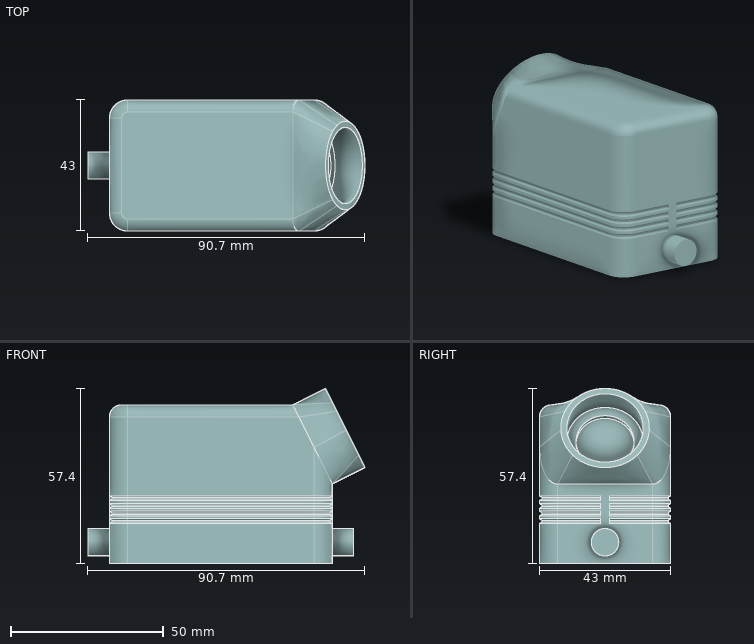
import cadquery as cq
import math

BODY_LENGTH = 73.0
BODY_WIDTH = 43.0
BODY_HEIGHT = 52.0
CORNER_RADIUS = 6.0
TOP_RADIUS = 4.0

NECK_TILT = 26.5
MOUTH_DIAMETER = 29.0
MOUTH_TOP_Z = 57.38
MOUTH_TIP_X = 47.22
NECK_LENGTH = 12.0
BORE_DIAMETER = 25.0
BORE_DEPTH = 10.0
INNER_HOLE_DIAMETER = 19.0

GROOVE_COUNT = 4
GROOVE_PITCH = 2.5
GROOVE_WIDTH = 1.6
GROOVE_FLOOR_WIDTH = 0.5
GROOVE_DEPTH = 0.8
LOWEST_GROOVE_Z = 13.9
PLAIN_STRIP_WIDTH = 3.0

PEG_DIAMETER = 9.0
PEG_LENGTH = 7.0
PEG_Z = 7.0

tilt = math.radians(NECK_TILT)
mouth_axis = cq.Vector(math.cos(tilt), 0, math.sin(tilt))
mouth_radius = MOUTH_DIAMETER / 2
mouth_center = cq.Vector(
    MOUTH_TIP_X - mouth_radius * math.sin(tilt),
    0,
    MOUTH_TOP_Z - mouth_radius * math.cos(tilt),
)
mouth_plane = cq.Plane(origin=mouth_center, xDir=(0, 1, 0), normal=mouth_axis)
root_plane = cq.Plane(origin=mouth_center - mouth_axis * NECK_LENGTH, xDir=(0, 1, 0), normal=mouth_axis)


def make_prism():
    """Upright box with rounded vertical edges."""
    return (
        cq.Workplane("XY")
        .box(BODY_LENGTH, BODY_WIDTH, BODY_HEIGHT, centered=(True, True, False))
        .edges("|Z")
        .fillet(CORNER_RADIUS)
    )


def make_body():
    """Rounded box with its top +X edge cut off along the neck's root plane."""
    box = make_prism().faces(">Z").edges().fillet(TOP_RADIUS)
    cutter_size = 2 * BODY_LENGTH
    cutter = cq.Workplane(root_plane).rect(cutter_size, cutter_size).extrude(cutter_size)
    return box.cut(cutter)


def make_neck(body):
    """Ruled transition from the body's slanted section to the round mouth."""
    section = body.faces(cq.selectors.ParallelDirSelector(mouth_axis)).val().outerWire()

    def ray_angle(point):
        local = root_plane.toLocalCoords(point)
        return math.atan2(local.y, local.x)

    def mouth_point(angle):
        return mouth_plane.toWorldCoords((mouth_radius * math.cos(angle), mouth_radius * math.sin(angle)))

    section_edges = sorted(section.Edges(), key=lambda edge: ray_angle(edge.positionAt(0.5)))
    mouth_edges = []
    for edge in section_edges:
        ends = (edge.startPoint(), edge.endPoint())
        first, last = sorted(ray_angle(end) for end in ends)
        if last - first > math.pi:
            first, last = last, first + 2 * math.pi
        middle = (first + last) / 2
        mouth_edges.append(
            cq.Edge.makeThreePointArc(mouth_point(first), mouth_point(middle), mouth_point(last))
        )
    mouth = cq.Wire.assembleEdges(mouth_edges)
    root = cq.Wire.assembleEdges(section_edges)
    return cq.Workplane(cq.Solid.makeLoft([root, mouth], True))


def make_bore():
    """Stepped round passage sunk into the mouth along its axis."""
    bore = cq.Workplane(mouth_plane).circle(BORE_DIAMETER / 2).extrude(-BORE_DEPTH)
    inner_hole = cq.Workplane(mouth_plane).circle(INNER_HOLE_DIAMETER / 2).extrude(-NECK_LENGTH)
    return bore.union(inner_hole)


def make_groove(z):
    """Trapezoidal ring following the body outline, interrupted at both end faces."""
    outline = make_prism().faces("<Z").wires().val().translate(cq.Vector(0, 0, z))
    side_y = BODY_WIDTH / 2
    floor_y = side_y - GROOVE_DEPTH
    profile = (
        cq.Workplane("YZ", origin=(0, 0, z))
        .moveTo(side_y, -GROOVE_WIDTH / 2)
        .lineTo(floor_y, -GROOVE_FLOOR_WIDTH / 2)
        .lineTo(floor_y, GROOVE_FLOOR_WIDTH / 2)
        .lineTo(side_y, GROOVE_WIDTH / 2)
        .close()
    )
    ring = profile.sweep(cq.Workplane(outline))
    strip = cq.Workplane("XY", origin=(0, 0, z)).box(2 * BODY_LENGTH, PLAIN_STRIP_WIDTH, 2 * GROOVE_WIDTH)
    return ring.cut(strip)


def make_pegs():
    """One round bar through both end faces."""
    span = BODY_LENGTH + 2 * PEG_LENGTH
    return (
        cq.Workplane("YZ", origin=(-span / 2, 0, PEG_Z))
        .circle(PEG_DIAMETER / 2)
        .extrude(span)
    )


body = make_body()
result = body.union(make_neck(body)).cut(make_bore())
for index in range(GROOVE_COUNT):
    result = result.cut(make_groove(LOWEST_GROOVE_Z + index * GROOVE_PITCH))
result = result.union(make_pegs())